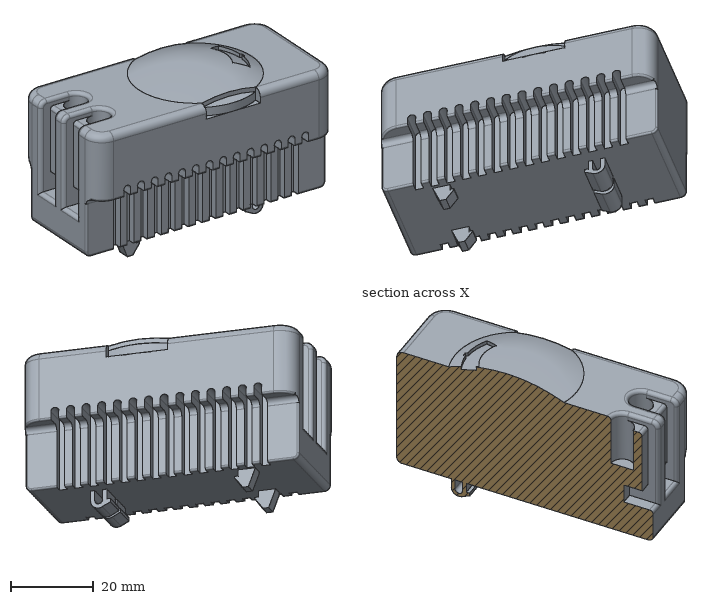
import cadquery as cq
import math

LENGTH = 70.0
UPPER_WIDTH = 33.0
LOWER_WIDTH = 24.0
HEIGHT = 34.0
STEP_Z = 16.0
UPPER_CORNER_RADIUS = 5.0
TOP_EDGE_RADIUS = 2.0
STEP_FILLET_RADIUS = 1.5
END_BOTTOM_RADIUS = 1.5
SMALL_EDGE_RADIUS = 0.5
FRONT_Y = -LENGTH / 2

GROOVE_COUNT = 14
GROOVE_PITCH = 4.0
GROOVE_WIDTH = 2.0
GROOVE_TOP_Z = 19.0
GROOVE_FLOOR_X = 10.0

DIAL_Y = 5.0
DIAL_RADIUS = UPPER_WIDTH / 2
DOME_RISE = 3.76
DOME_SPHERE_RADIUS = (DIAL_RADIUS**2 + DOME_RISE**2) / (2 * DOME_RISE)
DOME_TOP_Z = HEIGHT + DOME_RISE
DIAL_FLAT_X = UPPER_WIDTH / 2 - TOP_EDGE_RADIUS
LIP_DROP = 1.2
NOTCH_FLOOR_Z = 30.5
NOTCH_HALF_LENGTH = math.sqrt(DIAL_RADIUS**2 - DIAL_FLAT_X**2)

WINDOW_INNER_RADIUS = 9.0
WINDOW_OUTER_RADIUS = 13.3
WINDOW_HALF_ANGLE = 31.0
WINDOW_DEPTH = 1.0
NICK_WIDTH = 1.0
NICK_RADIUS = 14.0

TERMINAL_X = 5.0
TERMINAL_WIDTH = 6.0
TERMINAL_EDGE_RADIUS = 1.0
SCREW_Y = -26.5
SCREW_HOLE_FLOOR_Z = 20.0
SHELF_Z = 32.0
SHELF_EDGE_RADIUS = 1.0
SLOT_BACK_Y = -32.0
SLOT_FLOOR_Z = 9.4
WIRE_ENTRY_TOP_Z = 14.4
WIRE_ENTRY_BACK_Y = -27.0

CLIP_DROP = 4.65
LOOP_INNER_X = 0.5
LOOP_OUTER_X = 7.0
LOOP_Y = 18.0
LOOP_INNER_RADIUS = 1.0
LOOP_OUTER_RADIUS = 2.1
BARB_TIP_Y = 15.0
BARB_TOP_Z = -2.5
BARB_BOTTOM_Z = -3.4
WEDGE_INNER_X = 6.0
WEDGE_OUTER_X = 9.25
WEDGE_BACK_Y = -18.5
WEDGE_FRONT_Y = -22.9
WEDGE_HOOK_Y = -17.5
WEDGE_HOOK_TOP_Z = -1.6
WEDGE_HOOK_TIP_Z = -1.95
WEDGE_TIP_BACK_Y = -19.5
WEDGE_TIP_FRONT_Y = -21.1

OVERLAP = 0.5


def box(x_range, y_range, z_range):
    size = [high - low for low, high in (x_range, y_range, z_range)]
    corner = (x_range[0], y_range[0], z_range[0])
    return cq.Workplane("XY").box(*size, centered=False).translate(corner)


def side_profile(x_start):
    """Sketch plane with local axes along Y and Z, extruding toward +X."""
    return cq.Workplane("YZ", origin=(x_start, 0, 0))


def make_housing():
    upper_blank = (
        cq.Workplane("XY")
        .workplane(offset=STEP_Z)
        .rect(UPPER_WIDTH, LENGTH)
        .extrude(HEIGHT - STEP_Z)
        .edges("|Z")
        .fillet(UPPER_CORNER_RADIUS)
    )
    upper = upper_blank.faces(">Z").edges().fillet(TOP_EDGE_RADIUS)
    upper = upper.faces("<Z").edges().fillet(SMALL_EDGE_RADIUS)
    lower = (
        cq.Workplane("XY")
        .rect(LOWER_WIDTH, LENGTH)
        .extrude(STEP_Z + 2 * SMALL_EDGE_RADIUS)
        .faces("<Z")
        .edges("|X")
        .fillet(END_BOTTOM_RADIUS)
        .edges("|Z or (<Z and |Y)")
        .fillet(SMALL_EDGE_RADIUS)
    )
    return upper.union(lower).union(make_step_fillets(upper_blank))


def make_step_fillets(upper_blank):
    """Concave fillets under the overhang, kept inside the upper outline."""
    inner_x = LOWER_WIDTH / 2
    outer_x = inner_x + STEP_FILLET_RADIUS
    bottom_z = STEP_Z - STEP_FILLET_RADIUS
    strip = (
        cq.Workplane("XZ", origin=(0, LENGTH / 2, 0))
        .moveTo(inner_x - OVERLAP, bottom_z)
        .lineTo(inner_x, bottom_z)
        .radiusArc((outer_x, STEP_Z), STEP_FILLET_RADIUS)
        .lineTo(outer_x, STEP_Z + OVERLAP)
        .lineTo(inner_x - OVERLAP, STEP_Z + OVERLAP)
        .close()
        .extrude(LENGTH)
    )
    outline = upper_blank.translate((0, 0, bottom_z - STEP_Z))
    strip = strip.intersect(outline)
    return strip.union(strip.mirror("YZ"))


def cut_terminals(body):
    half_width = TERMINAL_WIDTH / 2
    for center_x in (-TERMINAL_X, TERMINAL_X):
        x_range = (center_x - half_width, center_x + half_width)
        screw = cq.Workplane("XY").center(center_x, SCREW_Y).circle(half_width)
        hole = screw.extrude(HEIGHT - SCREW_HOLE_FLOOR_Z).translate((0, 0, SCREW_HOLE_FLOOR_Z))
        shelf = box(x_range, (FRONT_Y, SCREW_Y), (SHELF_Z, HEIGHT))
        front = box(x_range, (FRONT_Y, SLOT_BACK_Y), (SLOT_FLOOR_Z, HEIGHT))
        entry = box(x_range, (SLOT_BACK_Y, WIRE_ENTRY_BACK_Y), (SLOT_FLOOR_Z, WIRE_ENTRY_TOP_Z))
        body = body.cut(shelf.union(hole).union(front)).cut(entry)
        shelf_edge = cq.selectors.BoxSelector(
            (center_x - half_width - OVERLAP, SLOT_BACK_Y - OVERLAP, SHELF_Z - OVERLAP),
            (center_x + half_width + OVERLAP, SLOT_BACK_Y + OVERLAP, SHELF_Z + OVERLAP),
        )
        body = body.edges("|X").edges(shelf_edge).fillet(SHELF_EDGE_RADIUS)
        body = round_terminal_rim(body, center_x)
    return body


def round_terminal_rim(body, center_x):
    """Round the rim where a terminal slot opens through the top and the front end."""
    reach = TERMINAL_WIDTH / 2 + OVERLAP
    rim_back_y = SCREW_Y + reach
    top_rim = cq.selectors.BoxSelector(
        (center_x - reach, FRONT_Y, HEIGHT - OVERLAP),
        (center_x + reach, rim_back_y, HEIGHT + OVERLAP),
    )
    front_rim = cq.selectors.BoxSelector(
        (center_x - reach, FRONT_Y - OVERLAP, SLOT_FLOOR_Z - OVERLAP),
        (center_x + reach, FRONT_Y + TOP_EDGE_RADIUS / 2, HEIGHT),
    )
    top_edges = body.edges(top_rim)
    front_edges = body.edges(front_rim)
    return top_edges.add(front_edges).fillet(TERMINAL_EDGE_RADIUS)


def dial_cap(top_z):
    """Cylinder of the dial's radius closed by the dome sphere peaking at top_z."""
    cylinder = cq.Workplane("XY").circle(DIAL_RADIUS).extrude(DOME_TOP_Z - NOTCH_FLOOR_Z + OVERLAP)
    cylinder = cylinder.translate((0, DIAL_Y, NOTCH_FLOOR_Z - OVERLAP))
    sphere = cq.Workplane("XY").sphere(DOME_SPHERE_RADIUS).rotate((0, 0, 0), (0, 1, 0), 90)
    return cylinder.intersect(sphere.translate((0, DIAL_Y, top_z - DOME_SPHERE_RADIUS)))


def make_window():
    angle = math.radians(WINDOW_HALF_ANGLE)

    def on_sector(radius, sign):
        return (sign * radius * math.sin(angle), radius * math.cos(angle))

    plane = cq.Workplane("XY", origin=(0, DIAL_Y, HEIGHT - LIP_DROP))
    depth = DOME_TOP_Z - HEIGHT + LIP_DROP
    sector = (
        plane.moveTo(*on_sector(WINDOW_INNER_RADIUS, -1))
        .threePointArc((0, WINDOW_INNER_RADIUS), on_sector(WINDOW_INNER_RADIUS, 1))
        .lineTo(*on_sector(WINDOW_OUTER_RADIUS, 1))
        .threePointArc((0, WINDOW_OUTER_RADIUS), on_sector(WINDOW_OUTER_RADIUS, -1))
        .close()
        .extrude(depth)
    )
    nick_length = NICK_RADIUS - WINDOW_INNER_RADIUS - OVERLAP
    nick = plane.center(0, NICK_RADIUS - nick_length / 2).rect(NICK_WIDTH, nick_length).extrude(depth)
    return sector.union(nick).cut(dial_cap(DOME_TOP_Z - WINDOW_DEPTH))


def add_dial(body):
    y_range = (DIAL_Y - NOTCH_HALF_LENGTH, DIAL_Y + NOTCH_HALF_LENGTH)
    notch = box((DIAL_FLAT_X, UPPER_WIDTH), y_range, (NOTCH_FLOOR_Z, DOME_TOP_Z))
    body = body.cut(notch).cut(notch.mirror("YZ"))
    dial_band = cq.Workplane("XY").box(2 * DIAL_FLAT_X, LENGTH, 2 * DOME_TOP_Z)
    dome = dial_cap(DOME_TOP_Z).intersect(dial_band)
    lip = dial_cap(DOME_TOP_Z - LIP_DROP)
    return body.union(lip).union(dome).cut(make_window())


def cut_grooves(body):
    depth = UPPER_WIDTH / 2 - GROOVE_FLOOR_X
    round_center_z = GROOVE_TOP_Z - GROOVE_WIDTH / 2
    first_y = -GROOVE_PITCH * (GROOVE_COUNT - 1) / 2
    for index in range(GROOVE_COUNT):
        groove_y = first_y + index * GROOVE_PITCH
        y_range = (groove_y - GROOVE_WIDTH / 2, groove_y + GROOVE_WIDTH / 2)
        groove = box((GROOVE_FLOOR_X, UPPER_WIDTH / 2), y_range, (0, round_center_z))
        rounding = side_profile(GROOVE_FLOOR_X).center(groove_y, round_center_z)
        groove = groove.union(rounding.circle(GROOVE_WIDTH / 2).extrude(depth))
        body = body.cut(groove).cut(groove.mirror("YZ"))
    return body


def make_loop_clip():
    """Hanging U-shaped spring loop with a barb facing the front."""
    center_z = LOOP_OUTER_RADIUS - CLIP_DROP
    back_y = LOOP_Y + LOOP_OUTER_RADIUS
    leg_front_y = LOOP_Y - LOOP_OUTER_RADIUS
    tip_dy = BARB_TIP_Y - LOOP_Y
    tip_dz = BARB_BOTTOM_Z - center_z
    tip_distance = math.hypot(tip_dy, tip_dz)
    tangent_angle = math.atan2(tip_dz, tip_dy) + math.acos(LOOP_OUTER_RADIUS / tip_distance)
    tangent_point = (
        LOOP_Y + LOOP_OUTER_RADIUS * math.cos(tangent_angle),
        center_z + LOOP_OUTER_RADIUS * math.sin(tangent_angle),
    )
    diagonal = LOOP_OUTER_RADIUS * math.sqrt(0.5)
    width = LOOP_OUTER_X - LOOP_INNER_X
    clip = (
        side_profile(LOOP_INNER_X)
        .moveTo(back_y, OVERLAP)
        .lineTo(back_y, center_z)
        .threePointArc((LOOP_Y + diagonal, center_z - diagonal), tangent_point)
        .lineTo(BARB_TIP_Y, BARB_BOTTOM_Z)
        .lineTo(BARB_TIP_Y, BARB_TOP_Z)
        .lineTo(leg_front_y, BARB_TOP_Z)
        .lineTo(leg_front_y, OVERLAP)
        .close()
        .extrude(width)
    )
    opening = side_profile(LOOP_INNER_X).center(LOOP_Y, center_z).circle(LOOP_INNER_RADIUS).extrude(width)
    y_range = (LOOP_Y - LOOP_INNER_RADIUS, LOOP_Y + LOOP_INNER_RADIUS)
    opening = opening.union(box((LOOP_INNER_X, LOOP_OUTER_X), y_range, (center_z, 0)))
    return clip.cut(opening)


def make_wedge_clip():
    """Tapered hook near the front, with its nose facing the rear."""
    outline = [
        (WEDGE_BACK_Y, OVERLAP),
        (WEDGE_BACK_Y, WEDGE_HOOK_TOP_Z),
        (WEDGE_HOOK_Y, WEDGE_HOOK_TOP_Z),
        (WEDGE_HOOK_Y, WEDGE_HOOK_TIP_Z),
        (WEDGE_TIP_BACK_Y, -CLIP_DROP),
        (WEDGE_TIP_FRONT_Y, -CLIP_DROP),
        (WEDGE_FRONT_Y, 0),
        (WEDGE_FRONT_Y, OVERLAP),
    ]
    return side_profile(WEDGE_INNER_X).polyline(outline).close().extrude(WEDGE_OUTER_X - WEDGE_INNER_X)


def add_clips(body):
    for clip in (make_loop_clip(), make_wedge_clip()):
        body = body.union(clip).union(clip.mirror("YZ"))
    return body


housing = cut_grooves(cut_terminals(make_housing()))
result = add_clips(add_dial(housing))